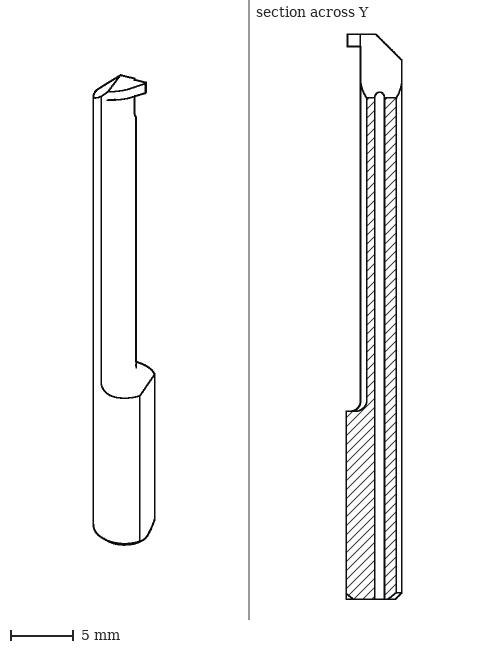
import cadquery as cq
import math

length = 45.0
shank_diameter = 5.0
shank_radius = shank_diameter / 2
flat_x = 1.958
end_chamfer = 0.55

shoulder_z = 15.0
neck_radius = 2.3
neck_right_x = 0.8
neck_center_x = neck_right_x - neck_radius
shoulder_fillet = 0.8

head_bottom_z = 44.0
tip_x = 1.85
tip_face_y = 0.0
tip_land_y = -0.15
clearance_end = (0.8, -1.3)
clearance_middle = (-0.15, -1.95)
bevel_end_x = -0.4
top_relief_angle = 4.0

chip_face_y = 0.15
runout_z = 41.35
runout_angle = 48.0
runout_fillet = 0.85

coolant_diameter = 0.75
coolant_x = -0.7
coolant_y = 1.4

margin = shank_diameter


def make_shank():
    shank = cq.Workplane("XY").circle(shank_radius).extrude(length)
    shank = shank.faces("<Z").chamfer(end_chamfer)
    flat_cut = cq.Workplane("XY").box(margin, 2 * margin, length, centered=(False, True, False))
    return shank.cut(flat_cut.translate((flat_x, 0, 0)))


def make_neck_envelope():
    """Full lower shank, then the eccentric neck with a flared foot."""
    neck_height = length - shoulder_z
    base = cq.Workplane("XY").circle(2 * margin).extrude(shoulder_z)
    neck = (
        cq.Workplane("XY", origin=(neck_center_x, 0, shoulder_z))
        .circle(neck_radius)
        .extrude(neck_height)
    )
    arc_offset = shoulder_fillet * (1 - math.sqrt(0.5))
    foot_radius = neck_radius + shoulder_fillet
    foot = (
        cq.Workplane("XZ", origin=(neck_center_x, 0, shoulder_z))
        .lineTo(foot_radius, 0)
        .threePointArc((neck_radius + arc_offset, arc_offset), (neck_radius, shoulder_fillet))
        .lineTo(0, shoulder_fillet)
        .close()
        .revolve(360, (0, 0, 0), (0, 1, 0))
    )
    return base.union(neck).union(foot)


def make_head_envelope():
    """Outline of the head, with side clearance behind the cutting tip."""
    return (
        cq.Workplane("XY", origin=(0, 0, head_bottom_z))
        .moveTo(-margin, chip_face_y)
        .lineTo(neck_right_x, chip_face_y)
        .lineTo(neck_right_x, tip_face_y)
        .lineTo(tip_x, tip_face_y)
        .lineTo(tip_x, tip_land_y)
        .lineTo(*clearance_end)
        .threePointArc(clearance_middle, (neck_center_x, -neck_radius))
        .lineTo(-margin, -neck_radius)
        .close()
        .extrude(length - head_bottom_z)
    )


def make_chip_cut():
    """Space behind the chip face, with a rounded sloping floor."""
    floor_drop = margin * math.tan(math.radians(runout_angle))
    far_y = chip_face_y + margin
    return (
        cq.Workplane("YZ", origin=(-margin, 0, 0))
        .moveTo(chip_face_y, runout_z)
        .lineTo(chip_face_y, length + margin)
        .lineTo(far_y, length + margin)
        .lineTo(far_y, runout_z - floor_drop)
        .close()
        .extrude(2 * margin)
        .edges(cq.selectors.NearestToPointSelector((0, chip_face_y, runout_z)))
        .fillet(runout_fillet)
    )


def make_bevel_cut():
    return (
        cq.Workplane("XZ", origin=(0, margin, 0))
        .moveTo(bevel_end_x + margin, length + margin)
        .lineTo(bevel_end_x - margin, length - margin)
        .lineTo(bevel_end_x - margin, length + margin)
        .close()
        .extrude(2 * margin)
    )


def make_top_relief_cut():
    drop = margin * math.tan(math.radians(top_relief_angle))
    return (
        cq.Workplane("YZ", origin=(-margin, 0, 0))
        .moveTo(chip_face_y, length)
        .lineTo(chip_face_y - margin, length - drop)
        .lineTo(chip_face_y - margin, length)
        .close()
        .extrude(2 * margin)
    )


def make_coolant_hole():
    return (
        cq.Workplane("XY")
        .center(coolant_x, coolant_y)
        .circle(coolant_diameter / 2)
        .extrude(length)
    )


result = make_shank().intersect(make_neck_envelope().union(make_head_envelope()))
for cutter in (make_chip_cut(), make_bevel_cut(), make_top_relief_cut(), make_coolant_hole()):
    result = result.cut(cutter)